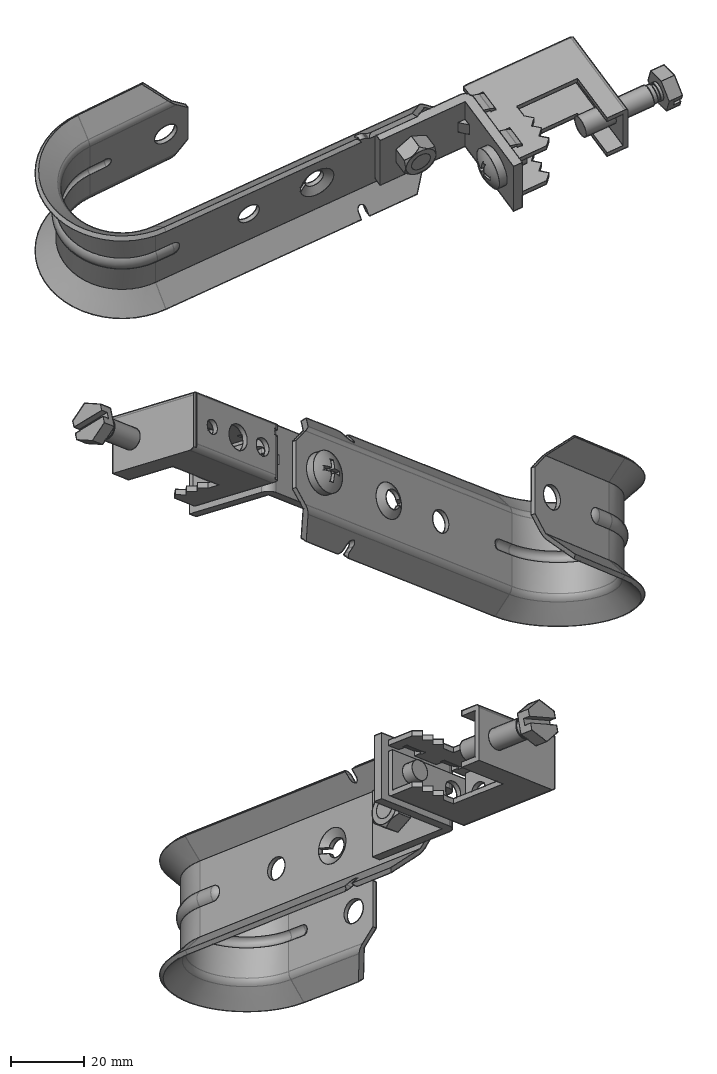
import cadquery as cq
import math


overall_length = 175.5
hexagon_half_sector = 30

sheet = 1.4
bend_radius = 16.7
web_width = 22.6
hook_width = 36.0
flare_angle = 45
flare_fillet = 3.0
bend_angle = 178.5
shank_end = 89.5
short_arm_length = 31.5
tip_half = 6.8
notch_y = 63.0
notch_width = 2.5
notch_floor = 14.2
notch_mouth_radius = 1.4
dimple_y = 51.0
dimple_radius = 5.3
dimple_height = 1.5
dimple_hole = 5.8
dimple_slot = 1.8
shank_hole_y = 29.5
shank_hole = 6.7
tip_hole_y = 24.4
tip_hole = 7.2
bead_width = 4.7
bead_height = 1.0
bead_run = 5.3

plate = 2.8
bracket_half = 9.8
bracket_face_y = 99.0
bracket_end_y = 69.3
bracket_end_x = 47.0
gusset_leg = 2.3
gusset_width = 4.2
groove_leg = 4.0
groove_width = 2.8

wall = 1.5
clamp_left = 14.7
clamp_right = 44.4
clamp_length = 35.0
clamp_half = 8.5
spine_right = 28.5
upper_jaw_y = 127.2
lower_jaw_y = 108.0
tooth_pitch = 4.0
tooth_count = 3
tooth_height = tooth_pitch / 2
web_inset = 0.4
web_end_gap = 1.0
top_bend = 0.5
bottom_bend = 1.8
flange_bend = 1.0
lower_flange_top = 5.1
lower_flange_hole_x = 21.0
lower_flange_hole = 6.0
web_holes = [(126.5, 4.2), (115.8, 7.5), (105.6, 5.3)]
tab_centres = [23.0, 37.4]
tab_width = 6.0
tab_length = 3.7
tab_rise = 1.4
tab_knee_rise = 0.7
tab_relief = 0.5
tab_relief_length = 1.5

fastener_x = 37.5
hook_bolt_y = 79.1
bolt_shank = 6.0
bolt_head = 12.1
bolt_head_rim = 2.5
bolt_head_height = 4.4
cross_length = 6.5
cross_width = 1.2
cross_depth = 1.8
clamp_bolt_length = 8.0
nut_flats = 9.6
nut_height = 5.3
nut_chamfer = 0.9
screw_shank = 6.3
screw_neck = 5.6
screw_groove = 4.7
screw_groove_width = 0.9
screw_neck_length = 3.2
screw_head_height = 4.2
screw_head_corners = 12.0
screw_head_turn = 16
screw_slot_width = 2.0
screw_slot_depth = 2.3
screw_tip_y = 122.8

flare = math.radians(flare_angle)
web_half = web_width / 2
hook_half = hook_width / 2
bead_half = bead_width / 2
bend_outer = bend_radius + sheet
tip_half_outer = hook_half - sheet * math.cos(flare)
tip_radius = bend_outer + (tip_half_outer - web_half) * math.tan(flare)
bracket_left = bend_outer
bracket_inner_x = bracket_left + plate
bracket_back_y = bracket_face_y - plate
clamp_bottom_y = bracket_face_y
clamp_top_y = clamp_bottom_y + clamp_length
screw_top_y = overall_length - tip_radius


def box(x0, x1, y0, y1, z0, z1):
    """Box between two corners."""
    return cq.Workplane("XY").box(x1 - x0, y1 - y0, z1 - z0, centered=False).translate((x0, y0, z0))


def rod_x(x0, x1, y, diameter):
    """Round bar along X on the plane Z = 0."""
    return cq.Workplane("YZ", origin=(x0, y, 0)).circle(diameter / 2).extrude(x1 - x0)


def rod_y(y0, y1, x, diameter):
    """Round bar along Y on the plane Z = 0."""
    return cq.Workplane("ZX", origin=(x, y0, 0)).circle(diameter / 2).extrude(y1 - y0)


def hook_section():
    """Web with two flared flanges, drawn in X and Z at the start of the bend."""
    half_flare = flare / 2
    inner_corner = web_half + sheet * math.tan(half_flare)
    tangent = flare_fillet * math.tan(half_flare)
    arc_start = (bend_radius, inner_corner - tangent)
    arc_middle = (
        bend_radius + flare_fillet * (1 - math.cos(half_flare)),
        arc_start[1] + flare_fillet * math.sin(half_flare),
    )
    arc_end = (bend_radius + tangent * math.sin(flare), inner_corner + tangent * math.cos(flare))
    inner_tip = (tip_radius - sheet * math.sin(flare), hook_half)
    outer_tip = (tip_radius, tip_half_outer)
    outer_corner = (bend_outer, web_half)

    def below(point):
        return (point[0], -point[1])

    return (
        cq.Workplane("XZ")
        .moveTo(*arc_start)
        .threePointArc(arc_middle, arc_end)
        .lineTo(*inner_tip)
        .lineTo(*outer_tip)
        .lineTo(*outer_corner)
        .lineTo(*below(outer_corner))
        .lineTo(*below(outer_tip))
        .lineTo(*below(inner_tip))
        .lineTo(*below(arc_end))
        .threePointArc(below(arc_middle), below(arc_start))
        .close()
    )


def hook_arm(length):
    """Straight arm along +Y whose end is cut back at 45 degrees on both sides."""
    corner = hook_half - tip_half
    outline = (
        cq.Workplane("YZ")
        .polyline([
            (0, -hook_half),
            (length - corner, -hook_half),
            (length, -tip_half),
            (length, tip_half),
            (length - corner, hook_half),
            (0, hook_half),
        ])
        .close()
        .extrude(tip_radius)
    )
    return hook_section().extrude(-length).intersect(outline)


def to_short_arm(shape):
    """Move a shape from the start of the bend on the shank to the other end of the bend."""
    return shape.mirror("XZ").rotate((0, 0, 0), (0, 0, 1), -bend_angle)


def bead_radius():
    """Radius of the bead's arc, from its width and height."""
    return (bead_half**2 + bead_height**2) / (2 * bead_height)


def bead_core(radius):
    """Round bar along the bead, with ball ends, before it is trimmed to the sheet."""
    centre_radius = bend_outer + bead_height - bead_radius()
    ring = (
        cq.Workplane("XZ").center(centre_radius, 0).circle(radius)
        .revolve(bend_angle, (-centre_radius, 0), (-centre_radius, -1))
    )
    run = cq.Workplane("XZ").center(centre_radius, 0).circle(radius).extrude(-bead_run)
    ball = cq.Workplane("XY").sphere(radius).translate((centre_radius, bead_run, 0))
    end = run.union(ball)
    return ring.union(end).union(to_short_arm(end))


def inside_of_hook():
    """The space between the arms out to the middle of the sheet, as high as the bead needs."""
    half = 2 * bead_half
    middle = bend_radius + sheet / 2
    disc = cq.Workplane("XY", origin=(0, 0, -half)).circle(middle).extrude(2 * half)
    side = box(0, middle, 0, short_arm_length, -half, half)
    return disc.union(side).union(to_short_arm(side))


def edge_notch(side):
    """Round-bottomed notch in one flange edge, with a rounded mouth; side is +1 or -1."""
    half = notch_width / 2
    mouth = half + notch_mouth_radius
    shoulder = hook_half - notch_mouth_radius
    bend = notch_mouth_radius * (1 - math.sqrt(0.5))
    notch = (
        cq.Workplane("YZ", origin=(bend_radius, notch_y, 0))
        .moveTo(-mouth, hook_half)
        .threePointArc((-half - bend, hook_half - bend), (-half, shoulder))
        .lineTo(-half, notch_floor + half)
        .threePointArc((0, notch_floor), (half, notch_floor + half))
        .lineTo(half, shoulder)
        .threePointArc((half + bend, hook_half - bend), (mouth, hook_half))
        .close()
        .extrude(tip_radius - bend_radius)
    )
    return notch if side > 0 else notch.mirror("XY")


def dimple_cone(base_x):
    """Cone that the sheet is pressed into, pointing towards -X from its base."""
    return (
        cq.Workplane("XY")
        .polyline([
            (base_x, 0),
            (base_x, dimple_radius),
            (base_x - dimple_height, dimple_hole / 2),
            (base_x - dimple_height, 0),
        ])
        .close()
        .revolve(360, (0, 0), (1, 0))
        .translate((0, dimple_y, 0))
    )


def make_hook():
    shank = hook_arm(shank_end)
    short_arm = hook_arm(short_arm_length).cut(rod_x(0, tip_radius, tip_hole_y, tip_hole))
    bend = hook_section().revolve(bend_angle, (0, 0), (0, -1))
    hook = shank.union(bend).union(to_short_arm(short_arm))

    bead = bead_core(bead_radius()).cut(inside_of_hook())
    hook = hook.union(bead).cut(bead_core(bead_radius() - sheet))

    for side in (1, -1):
        hook = hook.cut(edge_notch(side))

    hook = hook.union(dimple_cone(bend_radius)).cut(dimple_cone(bend_outer))
    hook = hook.cut(rod_x(0, bend_outer, dimple_y, dimple_hole))
    slot_half = dimple_slot / 2
    hook = hook.cut(box(0, bend_outer, dimple_y - dimple_radius, dimple_y, -slot_half, slot_half))

    hook = hook.cut(rod_x(0, bend_outer, shank_hole_y, shank_hole))
    return hook.cut(rod_x(0, bend_outer, hook_bolt_y, bolt_shank))


def corner_wedge(x, y, leg, width):
    """Triangular prism with its right angle at (x, y) and its legs along +X and -Y."""
    return (
        cq.Workplane("XY", origin=(x, y, -width / 2))
        .polyline([(0, 0), (leg, 0), (0, -leg)])
        .close()
        .extrude(width)
    )


def make_bracket():
    hook_leg = box(
        bracket_left, bracket_inner_x, bracket_end_y, bracket_face_y, -bracket_half, bracket_half
    )
    clamp_leg = box(
        bracket_left, bracket_end_x, bracket_back_y, bracket_face_y, -bracket_half, bracket_half
    )
    bracket = hook_leg.union(clamp_leg).edges("|Z and <X and >Y").fillet(plate)
    bracket = bracket.union(corner_wedge(bracket_inner_x, bracket_back_y, gusset_leg, gusset_width))
    bracket = bracket.cut(corner_wedge(bracket_left, bracket_face_y, groove_leg, groove_width))
    bracket = bracket.cut(rod_x(bracket_left, bracket_inner_x, hook_bolt_y, bolt_shank))
    return bracket.cut(rod_y(bracket_back_y, bracket_face_y, fastener_x, bolt_shank))


def jaw_opening():
    """Gap between the jaws, with teeth standing into it from the lower jaw."""
    points = [
        (clamp_right, upper_jaw_y),
        (spine_right, upper_jaw_y),
        (spine_right, lower_jaw_y),
    ]
    first_tooth = clamp_right - tooth_count * tooth_pitch
    for index in range(tooth_count):
        root = first_tooth + index * tooth_pitch
        points.append((root, lower_jaw_y))
        points.append((root + tooth_pitch / 2, lower_jaw_y + tooth_height))
    points.append((clamp_right, lower_jaw_y))
    return (
        cq.Workplane("XY", origin=(0, 0, -clamp_half))
        .polyline(points).close().extrude(2 * clamp_half)
    )


def raised_tab(x):
    """Tab cut free from the top plate and bent up towards the bracket."""
    hinge_y = clamp_bottom_y + tab_length
    knee_y = hinge_y - tab_relief_length
    top = [
        (hinge_y, clamp_half),
        (knee_y, clamp_half + tab_knee_rise),
        (clamp_bottom_y, clamp_half + tab_rise),
    ]
    bottom = [(y, z - wall) for y, z in reversed(top)]
    return (
        cq.Workplane("YZ", origin=(x - tab_width / 2, 0, 0))
        .polyline(top + bottom)
        .close()
        .extrude(tab_width)
    )


def tab_opening(x):
    """Opening left by a tab, wider beside its hinge."""
    hinge_y = clamp_bottom_y + tab_length
    half = tab_width / 2
    relief_half = half + tab_relief
    plate_bottom = clamp_half - wall
    opening = box(x - half, x + half, clamp_bottom_y, hinge_y, plate_bottom, clamp_half)
    relief = box(
        x - relief_half, x + relief_half, hinge_y - tab_relief_length, hinge_y, plate_bottom, clamp_half
    )
    return opening.union(relief)


def make_clamp():
    inner_left = clamp_left + wall
    inner_top = clamp_half - wall
    block = box(clamp_left, clamp_right, clamp_bottom_y, clamp_top_y, -clamp_half, clamp_half)
    flange_rounded = block.edges("(|X and >Y and >Z) or (|X and <Y and <Z)").fillet(flange_bend)
    web_rounded = block.edges("|Y and <X and >Z").fillet(top_bend)
    web_rounded = web_rounded.edges("|Y and <X and <Z").fillet(bottom_bend)
    clamp = flange_rounded.intersect(web_rounded)

    clamp = clamp.cut(
        box(inner_left, clamp_right, clamp_bottom_y + wall, clamp_top_y - wall, -inner_top, inner_top)
    )
    clamp = clamp.cut(
        box(clamp_left, clamp_right, clamp_bottom_y, clamp_bottom_y + wall, lower_flange_top, inner_top)
    )
    plate_left = clamp_left + web_inset
    web_ends = [
        (clamp_bottom_y, clamp_bottom_y + web_end_gap),
        (clamp_top_y - web_end_gap, clamp_top_y),
    ]
    for start, end in web_ends:
        clamp = clamp.cut(box(clamp_left, plate_left, start, end, -clamp_half, clamp_half))

    clamp = clamp.cut(jaw_opening())
    for y, diameter in web_holes:
        clamp = clamp.cut(rod_x(clamp_left, inner_left, y, diameter))
    for x in tab_centres:
        clamp = clamp.cut(tab_opening(x)).union(raised_tab(x))
    clamp = clamp.cut(rod_y(clamp_top_y - wall, clamp_top_y, fastener_x, screw_shank))
    for x, diameter in [(fastener_x, bolt_shank), (lower_flange_hole_x, lower_flange_hole)]:
        clamp = clamp.cut(rod_y(clamp_bottom_y, clamp_bottom_y + wall, x, diameter))
    return clamp


def make_bolt(shank_length):
    """Domed bolt with a cross recess: seat at the origin, shank along +X."""
    radius = bolt_head / 2
    dome = bolt_head_height - bolt_head_rim
    sphere_radius = (radius**2 + dome**2) / (2 * dome)
    sphere_x = sphere_radius - bolt_head_height
    half_chord = math.asin(radius / sphere_radius) / 2
    dome_middle = (
        sphere_x - sphere_radius * math.cos(half_chord),
        sphere_radius * math.sin(half_chord),
    )
    bolt = (
        cq.Workplane("XY")
        .moveTo(shank_length, 0)
        .lineTo(shank_length, bolt_shank / 2)
        .lineTo(0, bolt_shank / 2)
        .lineTo(0, radius)
        .lineTo(-bolt_head_rim, radius)
        .threePointArc(dome_middle, (-bolt_head_height, 0))
        .close()
        .revolve(360, (0, 0), (1, 0))
    )
    recess_floor = cross_depth - bolt_head_height
    for length, width in [(cross_length, cross_width), (cross_width, cross_length)]:
        bolt = bolt.cut(
            box(-bolt_head_height, recess_floor, -length / 2, length / 2, -width / 2, width / 2)
        )
    return bolt


def make_nut():
    """Hexagon nut on the bracket, with its outer corners chamfered."""
    corners = nut_flats / math.cos(math.radians(hexagon_half_sector))
    seat = cq.Workplane("YZ", origin=(bracket_inner_x, hook_bolt_y, 0))
    blank = seat.polygon(6, corners).extrude(nut_height).rotate(
        (0, hook_bolt_y, 0), (1, hook_bolt_y, 0), 90
    )
    envelope = seat.circle(corners / 2).extrude(nut_height).faces(">X").chamfer(nut_chamfer)
    bore = seat.circle(bolt_shank / 2).extrude(nut_height)
    return blank.intersect(envelope).cut(bore)


def make_clamp_screw():
    """Slotted hexagon screw with a grooved neck under its head."""
    head_bottom = screw_top_y - screw_head_height
    neck_bottom = head_bottom - screw_neck_length
    head = (
        cq.Workplane("XZ", origin=(0, screw_top_y, 0))
        .polygon(6, screw_head_corners)
        .extrude(screw_head_height)
    )
    slot = box(
        -screw_head_corners, screw_head_corners,
        screw_top_y - screw_slot_depth, screw_top_y,
        -screw_slot_width / 2, screw_slot_width / 2,
    ).rotate((0, 0, 0), (0, 1, 0), hexagon_half_sector)
    head = head.cut(slot).rotate((0, 0, 0), (0, 1, 0), -screw_head_turn)

    screw = head.translate((fastener_x, 0, 0))
    groove_top = head_bottom - screw_groove_width
    groove_bottom = groove_top - screw_groove_width
    screw = screw.union(rod_y(groove_top, head_bottom, fastener_x, screw_neck))
    screw = screw.union(rod_y(groove_bottom, groove_top, fastener_x, screw_groove))
    screw = screw.union(rod_y(neck_bottom, groove_bottom, fastener_x, screw_neck))
    return screw.union(rod_y(screw_tip_y, neck_bottom, fastener_x, screw_shank))


hook = make_hook()
bracket = make_bracket()
clamp = make_clamp()
clamp_screw = make_clamp_screw()
nut = make_nut()

hook_bolt = make_bolt(sheet + plate + nut_height).translate((bend_radius, hook_bolt_y, 0))
clamp_bolt = (
    make_bolt(clamp_bolt_length)
    .rotate((0, 0, 0), (0, 0, 1), 90)
    .translate((fastener_x, bracket_back_y, 0))
)

result = cq.Compound.makeCompound([
    hook.solids().val(),
    bracket.solids().val(),
    clamp.solids().val(),
    clamp_screw.solids().val(),
    nut.solids().val(),
    hook_bolt.solids().val(),
    clamp_bolt.solids().val(),
])